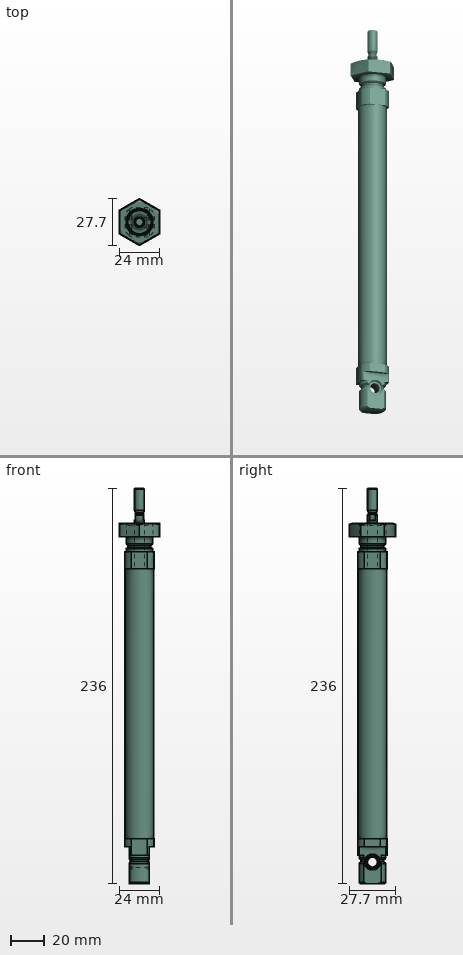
import cadquery as cq
import math


total_length = 236.0
rod_diameter = 6.0
rod_thread_length = 16.0
undercut_diameter = 4.8
undercut_length = 3.0
undercut_lower_flank = 0.7
undercut_upper_flank = 1.5
rod_flat_width = 5.0
rod_flat_length = 3.0

thread_diameter = 16.0
thread_chamfer = 1.0
relief_diameter = 13.7
relief_flank = (thread_diameter - relief_diameter) / 2
cap_side_flank = 0.6
front_relief_length = 3.0
rear_relief_length = 3.5
front_thread_end = 215.0
front_thread_length = 12.0
rear_thread_length = 12.0

tube_diameter = 17.3
cap_width = 17.6
cap_corner_diameter = 20.0
cap_nose_diameter = thread_diameter
front_nose_length = 2.0
rear_nose_length = 1.5
cap_length = 10.0

tongue_thickness = 12.0
tongue_height = 22.0
pin_hole_diameter = 6.0
pin_hole_height = 13.0
recess_diameter = 8.0
recess_depth = 1.5
recess_chamfer = 0.7

nut_width = 24.0
nut_height = 8.0
nut_chamfer_diameter = nut_width
nut_chamfer_height = 0.6

rod_shoulder = total_length - rod_thread_length
front_relief_top = front_thread_end - front_thread_length
front_cap_end = front_relief_top - front_relief_length
front_cap_base = front_cap_end - front_nose_length - cap_length
rear_cap_end = rear_thread_length + rear_relief_length
rear_cap_base = rear_cap_end + rear_nose_length + cap_length


def cylinder(diameter, bottom, top):
    return cq.Workplane("XY").workplane(offset=bottom).circle(diameter / 2).extrude(top - bottom)


def make_end_cap(nose_length):
    """Square cap with turned corners on Z = 0 and a round nose on top."""
    square = cq.Workplane("XY").rect(cap_width, cap_width).extrude(cap_length)
    square = square.intersect(cylinder(cap_corner_diameter, 0, cap_length))
    return square.union(cylinder(cap_nose_diameter, cap_length, cap_length + nose_length))


def make_relief(mouth_diameter, floor_diameter, length, lower_flank, upper_flank):
    """Necked section from Z = 0 upwards; the flanks are heights of its cones."""
    mouth_radius = mouth_diameter / 2
    floor_radius = floor_diameter / 2
    profile = [
        (0, 0),
        (mouth_radius, 0),
        (floor_radius, lower_flank),
        (floor_radius, length - upper_flank),
        (mouth_radius, length),
        (0, length),
    ]
    return cq.Workplane("XZ").polyline(profile).close().revolve(360, (0, 0, 0), (0, 1, 0))


def make_rod():
    thread = cylinder(rod_diameter, rod_shoulder + undercut_length, total_length)
    thread = thread.faces(">Z").chamfer((rod_diameter - undercut_diameter) / 2)
    undercut = make_relief(
        rod_diameter, undercut_diameter, undercut_length, undercut_lower_flank, undercut_upper_flank
    )
    undercut = undercut.translate((0, 0, rod_shoulder))
    shank = cylinder(rod_diameter, front_cap_base, rod_shoulder)
    rod = shank.union(undercut).union(thread)
    return cut_wrench_flats(rod)


def cut_wrench_flats(rod):
    """Two flats across X, from below the shoulder up to the floor of the undercut."""
    flats_base = rod_shoulder - rod_flat_length
    flats_top = rod_shoulder + undercut_lower_flank
    flats = cq.Workplane("XY").workplane(offset=flats_base)
    flats = flats.rect(rod_flat_width, rod_diameter).extrude(flats_top - flats_base)
    waste = cylinder(2 * rod_diameter, flats_base, flats_top).cut(flats)
    return rod.cut(waste)


def make_housing():
    tube = cylinder(tube_diameter, rear_cap_base, front_cap_base)
    front_cap = make_end_cap(front_nose_length).translate((0, 0, front_cap_base))
    rear_cap = make_end_cap(rear_nose_length).rotate((0, 0, 0), (1, 0, 0), 180)
    rear_cap = rear_cap.translate((0, 0, rear_cap_base))

    front_relief = make_relief(
        thread_diameter, relief_diameter, front_relief_length, cap_side_flank, relief_flank
    ).translate((0, 0, front_cap_end))
    front_thread = cylinder(thread_diameter, front_relief_top, front_thread_end)
    front_thread = front_thread.faces(">Z").chamfer(thread_chamfer)
    rear_relief = make_relief(
        thread_diameter, relief_diameter, rear_relief_length, relief_flank, relief_flank
    ).translate((0, 0, rear_thread_length))
    rear_thread = cylinder(thread_diameter, 0, rear_thread_length)
    rear_thread = rear_thread.faces("<Z").chamfer(thread_chamfer)

    housing = tube
    for section in (front_cap, front_relief, front_thread, rear_cap, rear_relief, rear_thread):
        housing = housing.union(section)
    housing = cut_tongue(housing)
    housing = cut_pin_hole(housing)
    return housing.cut(cylinder(rod_diameter, front_cap_base, front_thread_end))


def cut_tongue(housing):
    """Remove both sides of the rear end, leaving a tongue centred on X = 0."""
    around_tongue = cq.Workplane("XY").rect(2 * nut_width, 2 * nut_width)
    around_tongue = around_tongue.rect(tongue_thickness, 2 * nut_width).extrude(tongue_height)
    return housing.cut(around_tongue)


def cut_pin_hole(housing):
    """Pin hole along X, recessed and chamfered on both faces of the tongue."""
    face = tongue_thickness / 2
    recess_floor = face - recess_depth
    recess_radius = recess_diameter / 2
    radius = pin_hole_diameter / 2
    half_profile = [
        (face, recess_radius + recess_chamfer),
        (face - recess_chamfer, recess_radius),
        (recess_floor, recess_radius),
        (recess_floor, radius),
    ]
    mirrored = [(-x, r) for x, r in reversed(half_profile)]
    profile = [(face, 0)] + half_profile + mirrored + [(-face, 0)]
    hole = cq.Workplane("XZ").polyline(profile).close().revolve(360, (0, 0, 0), (1, 0, 0))
    return housing.cut(hole.translate((0, 0, pin_hole_height)))


def make_nut():
    blank = cq.Workplane("XY").workplane(offset=front_thread_end - nut_height)
    blank = blank.polygon(6, nut_width, circumscribed=True).extrude(nut_height)
    corner_diameter = nut_width / math.cos(math.pi / 6)
    turned = cylinder(corner_diameter, front_thread_end - nut_height, front_thread_end)
    rim = (corner_diameter - nut_chamfer_diameter) / 2
    turned = turned.faces(">Z").chamfer(nut_chamfer_height, rim)
    blank = blank.intersect(turned)
    return blank.cut(cylinder(thread_diameter, front_thread_end - nut_height, front_thread_end))


rod = make_rod()
housing = make_housing()
nut = make_nut()

result = cq.Compound.makeCompound([housing.val(), rod.val(), nut.val()])